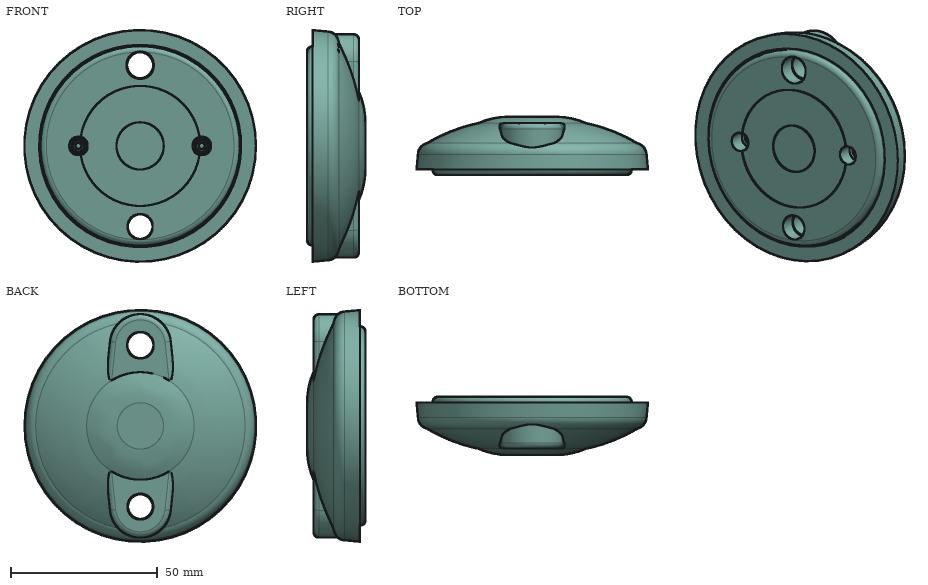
import cadquery as cq
import math


RIM_RADIUS = 39.5
RIM_Y = 2.0
WALL_TOP_RADIUS = 39.0
WALL_TOP_Y = 7.1
DOME_EDGE_RADIUS = 35.7
DOME_EDGE_Y = 11.0
SHOULDER_MID_RADIUS = 38.0
SHOULDER_MID_Y = 9.55
DOME_MID_RADIUS = 27.6
DOME_MID_Y = 15.0
CROWN_RADIUS = 18.3
CROWN_Y = 17.8
CROWN_FLAT_RADIUS = 7.9
TOP_Y = 20.0

BAR_Y = 17.8
BAR_END_Z = 38.1
BAR_END_RADIUS = 10.4
BAR_TAPER = math.radians(6)
BAR_FILLET = 2.0

DISC_RADIUS = 34.0
DISC_THICKNESS = 7.0
DISC_FILLET = 2.0
DISC_GAP = 0.5
RECESS_RADIUS = 20.5
RECESS_DEPTH = 0.3
PAD_RADIUS = 8.05

BOLT_OFFSET = 27.5
COVER_BOLT_RADIUS = 4.4
UPPER_BOLT_RADIUS = 4.7
LOWER_BOLT_RADIUS = 4.2

SCREW_OFFSET = 21.0
SCREW_CLEARANCE_RADIUS = 3.15
SEAT_RADIUS = 2.45
BORE_RADIUS = 2.0
PILOT_MOUTH_RADIUS = 1.6
PILOT_TIP_RADIUS = 1.0
SEAT_DEPTH = 0.8
BORE_DEPTH = 1.6
PILOT_DEPTH = 4.75


def cylinder(radius, y_start, y_end, x=0.0, z=0.0):
    """Cylinder along Y between two heights, centred on (x, z)."""
    axis_start = cq.Vector(x, y_start, z)
    return cq.Workplane(cq.Solid.makeCylinder(radius, y_end - y_start, axis_start, cq.Vector(0, 1, 0)))


def cone(start_radius, end_radius, y_start, y_end, x):
    """Cone along Y between two heights, centred on (x, 0)."""
    axis_start = cq.Vector(x, y_start, 0)
    height = y_end - y_start
    return cq.Workplane(cq.Solid.makeCone(start_radius, end_radius, height, axis_start, cq.Vector(0, 1, 0)))


def make_dome():
    """Revolved dome: flat crown, rounded shoulder and slightly drafted wall."""
    blend_width = CROWN_RADIUS - CROWN_FLAT_RADIUS
    crown_drop = TOP_Y - CROWN_Y
    blend_radius = (blend_width**2 + crown_drop**2) / (2 * crown_drop)
    blend_mid_radius = (CROWN_RADIUS + CROWN_FLAT_RADIUS) / 2
    blend_drop = blend_radius - math.sqrt(blend_radius**2 - (blend_width / 2) ** 2)
    profile = (
        cq.Workplane("XY")
        .moveTo(0, RIM_Y)
        .lineTo(0, TOP_Y)
        .lineTo(CROWN_FLAT_RADIUS, TOP_Y)
        .threePointArc((blend_mid_radius, TOP_Y - blend_drop), (CROWN_RADIUS, CROWN_Y))
        .threePointArc((DOME_MID_RADIUS, DOME_MID_Y), (DOME_EDGE_RADIUS, DOME_EDGE_Y))
        .threePointArc((SHOULDER_MID_RADIUS, SHOULDER_MID_Y), (WALL_TOP_RADIUS, WALL_TOP_Y))
        .lineTo(RIM_RADIUS, RIM_Y)
        .close()
    )
    return profile.revolve(360, (0, 0, 0), (0, 1, 0))


def make_bar():
    """Bar along Z, widest in the middle, with a round end tangent to the flanks on each side."""
    end_centre_z = BAR_END_Z - BAR_END_RADIUS
    tangent_x = BAR_END_RADIUS * math.cos(BAR_TAPER)
    tangent_z = end_centre_z + BAR_END_RADIUS * math.sin(BAR_TAPER)
    middle_x = tangent_x + tangent_z * math.tan(BAR_TAPER)
    return (
        cq.Workplane("XZ", origin=(0, DISC_THICKNESS, 0))
        .moveTo(middle_x, 0)
        .lineTo(tangent_x, tangent_z)
        .threePointArc((0, BAR_END_Z), (-tangent_x, tangent_z))
        .lineTo(-middle_x, 0)
        .lineTo(-tangent_x, -tangent_z)
        .threePointArc((0, -BAR_END_Z), (tangent_x, -tangent_z))
        .close()
        .extrude(DISC_THICKNESS - BAR_Y)
        .faces(">Y")
        .edges()
        .fillet(BAR_FILLET)
    )


def make_screw_socket(x):
    """Blind stepped hole in the cover: conical seat, tapered bore and narrower tapered pilot."""
    seat_y = DISC_THICKNESS + SEAT_DEPTH
    bore_y = DISC_THICKNESS + BORE_DEPTH
    pilot_y = DISC_THICKNESS + PILOT_DEPTH
    seat = cone(SCREW_CLEARANCE_RADIUS, SEAT_RADIUS, DISC_THICKNESS, seat_y, x)
    bore = cone(BORE_RADIUS, PILOT_MOUTH_RADIUS, seat_y, bore_y, x)
    pilot = cone(PILOT_MOUTH_RADIUS, PILOT_TIP_RADIUS, bore_y, pilot_y, x)
    return seat.union(bore).union(pilot)


def make_cover():
    """Dome and bar, hollowed for the base disc."""
    cover = make_dome().union(make_bar())
    cover = cover.cut(cylinder(DISC_RADIUS + DISC_GAP, 0, DISC_THICKNESS))
    for side in (-1, 1):
        cover = cover.cut(cylinder(COVER_BOLT_RADIUS, 0, TOP_Y, z=side * BOLT_OFFSET))
        cover = cover.cut(make_screw_socket(side * SCREW_OFFSET))
    return cover


def make_base_disc():
    """Disc seated in the cover, with a shallow ring recess around a central pad."""
    disc = cylinder(DISC_RADIUS, 0, DISC_THICKNESS).faces("<Y").edges().fillet(DISC_FILLET)
    ring = cylinder(RECESS_RADIUS, 0, RECESS_DEPTH).cut(cylinder(PAD_RADIUS, 0, RECESS_DEPTH))
    disc = disc.cut(ring)
    disc = disc.cut(cylinder(UPPER_BOLT_RADIUS, 0, DISC_THICKNESS, z=BOLT_OFFSET))
    disc = disc.cut(cylinder(LOWER_BOLT_RADIUS, 0, DISC_THICKNESS, z=-BOLT_OFFSET))
    for side in (-1, 1):
        disc = disc.cut(cylinder(SCREW_CLEARANCE_RADIUS, 0, DISC_THICKNESS, side * SCREW_OFFSET))
    return disc


cover = make_cover()
base_disc = make_base_disc()

result = cq.Compound.makeCompound([cover.val(), base_disc.val()])